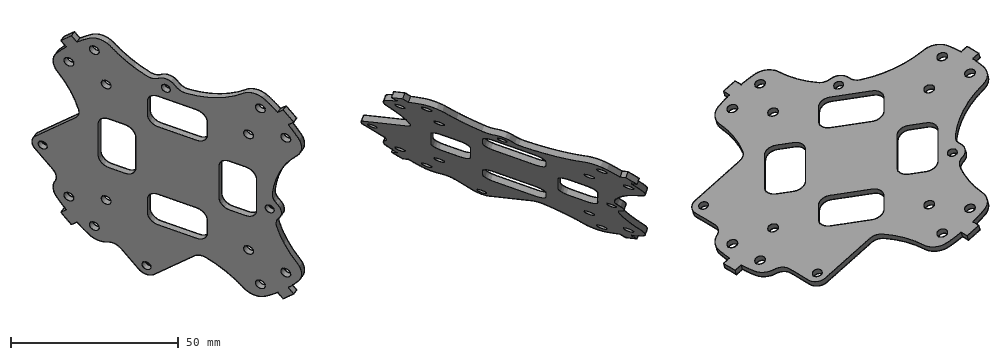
import cadquery as cq

THICKNESS = 2.0

DISC_RADIUS = 50.0
BITE_RADIUS = 33.2
BITE_CENTRE_DISTANCE = 64.85
LOBE_CORNER_RADIUS = 5.85

TAB_WIDTH = 5.0
TAB_TIP_DISTANCE = 52.5

BOARD_HOLE_PITCH_LONG = 58.2
BOARD_HOLE_PITCH_SHORT = 49.0
BOARD_SHIFT = 10.0
BOARD_MARGIN = 3.6
BOSS_RADIUS = 4.0
BOARD_HOLE_DIAMETER = 3.0

BLEND_RADIUS = 4.0
CROSSING_TOLERANCE = 0.01

WINDOW_LENGTH = 20.0
WINDOW_WIDTH = 12.5
WINDOW_CORNER_RADIUS = 3.6
WINDOW_CENTRE_DISTANCE = 20.2

LOBE_HOLE_DIAMETER = 3.2
INNER_HOLE_OFFSET = 23.8
OUTER_HOLE_NEAR = 27.7
OUTER_HOLE_FAR = 36.2

DIAGONAL_ANGLE = 45
QUARTER_TURNS = (0, 90, 180, 270)


def sketch_plane():
    """XZ sketch on the +Y face, so that extrusions run towards -Y."""
    return cq.Workplane("XZ", origin=(0, THICKNESS / 2, 0))


def turned(body, angle):
    """Turn a body about the plate axis, from +X towards +Z."""
    return body.rotate((0, 0, 0), (0, -1, 0), angle)


def make_lobed_plate():
    plate = sketch_plane().circle(DISC_RADIUS).extrude(THICKNESS)
    bite = sketch_plane().center(BITE_CENTRE_DISTANCE, 0).circle(BITE_RADIUS).extrude(THICKNESS)
    for angle in QUARTER_TURNS:
        plate = plate.cut(turned(bite, angle))
    return plate.edges("|Y").fillet(LOBE_CORNER_RADIUS)


def make_board():
    """A rectangle with rounded corners, with larger bosses on its +X, +Z end."""
    length = BOARD_HOLE_PITCH_LONG + 2 * BOARD_MARGIN
    width = BOARD_HOLE_PITCH_SHORT + 2 * BOARD_MARGIN
    board = (
        sketch_plane()
        .center(-BOARD_SHIFT, 0)
        .rect(length, width)
        .extrude(THICKNESS)
        .edges("|Y")
        .fillet(BOARD_MARGIN)
    )
    boss_bar = (
        sketch_plane()
        .center(BOARD_HOLE_PITCH_LONG / 2 - BOARD_SHIFT, 0)
        .slot2D(BOARD_HOLE_PITCH_SHORT + 2 * BOSS_RADIUS, 2 * BOSS_RADIUS, 90)
        .extrude(THICKNESS)
    )
    return turned(board.union(boss_bar), DIAGONAL_ANGLE)


def join_blended(plate, board):
    """Join plate and board, rounding the inward corners where their outlines cross."""
    joined = plate.union(board)
    board_corner_ends = [edge.Center() for edge in board.edges("|Y").vals()]

    def is_crossing(edge):
        return all((edge.Center() - end).Length > CROSSING_TOLERANCE for end in board_corner_ends)

    return joined.edges("|Y").filter(is_crossing).fillet(BLEND_RADIUS)


def make_tabs():
    """A cross of two diagonal bars whose ends stand out of the lobes as tabs."""
    bar = sketch_plane().rect(2 * TAB_TIP_DISTANCE, TAB_WIDTH).extrude(THICKNESS)
    return turned(bar, DIAGONAL_ANGLE).union(turned(bar, -DIAGONAL_ANGLE))


def cut_windows(body):
    window = (
        sketch_plane()
        .center(WINDOW_CENTRE_DISTANCE, 0)
        .rect(WINDOW_WIDTH, WINDOW_LENGTH)
        .extrude(THICKNESS)
        .edges("|Y")
        .fillet(WINDOW_CORNER_RADIUS)
    )
    for angle in QUARTER_TURNS:
        body = body.cut(turned(window, angle))
    return body


def drill_board_holes(body):
    holes = (
        sketch_plane()
        .center(-BOARD_SHIFT, 0)
        .rect(BOARD_HOLE_PITCH_LONG, BOARD_HOLE_PITCH_SHORT, forConstruction=True)
        .vertices()
        .circle(BOARD_HOLE_DIAMETER / 2)
        .extrude(THICKNESS)
    )
    return body.cut(turned(holes, DIAGONAL_ANGLE))


def drill_lobe_holes(body):
    offsets = (
        (INNER_HOLE_OFFSET, INNER_HOLE_OFFSET),
        (OUTER_HOLE_NEAR, OUTER_HOLE_FAR),
        (OUTER_HOLE_FAR, OUTER_HOLE_NEAR),
    )
    points = [(sx * x, sz * z) for x, z in offsets for sx in (1, -1) for sz in (1, -1)]
    holes = sketch_plane().pushPoints(points).circle(LOBE_HOLE_DIAMETER / 2).extrude(THICKNESS)
    return body.cut(holes)


result = join_blended(make_lobed_plate(), make_board())
result = result.union(make_tabs())
result = cut_windows(result)
result = drill_board_holes(result)
result = drill_lobe_holes(result)